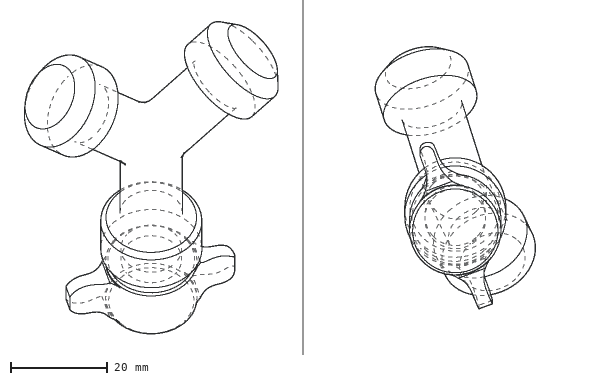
import cadquery as cq
import math

nut_radius = 9.5
nut_height = 13.5
nut_top_chamfer = 0.5
nut_bottom_chamfer = 0.6

neck_radius = 6.3
collar_radius = 10.5
collar_bottom = 17.0
collar_top = 27.2
collar_chamfer = 1.1
stem_radius = 6.5
root_fillet = 1.5

total_height = 79.0
arm_span = 53.7
arm_angle = 45.0
cap_radius = 10.0
cap_length = 10.0
cap_chamfer = 3.0
fork_height = total_height - arm_span / 2
cap_end = arm_span / 2 * math.sqrt(2) - (cap_radius - cap_chamfer)
cap_start = cap_end - cap_length
crotch_fillet = 3.0
shoulder_fillet = 6.0

wing_reach = 18.0
blade_half = 1.5
wing_middle = 6.9
root_half_height = 5.7
blade_half_height = 4.5
tip_half_height = 2.05
wing_step_start = 9.8
wing_step_radius = 3.0
blade_corner_start = 14.15
flank_radius = 6.95


def fork_frame():
    """Stem and two arms as bare rods, joined by a ball where they meet."""
    rods = cq.Workplane("XY").workplane(offset=collar_top).circle(stem_radius)
    rods = rods.extrude(fork_height - collar_top)
    rods = rods.union(cq.Workplane("XY").sphere(stem_radius).translate((0, 0, fork_height)))
    for side in (1, -1):
        rods = rods.union(lean(cq.Workplane("XY").circle(stem_radius).extrude(cap_start), side))
    return rods


def lean(body, side):
    """Tilt a body standing on the origin into arm position on the given Y side."""
    return body.rotate((0, 0, 0), (1, 0, 0), -side * arm_angle).translate((0, 0, fork_height))


def blend_fork(rods):
    """Round the crotch between the arms and the shoulders where the stem turns into each arm."""
    ellipses = rods.edges("%ELLIPSE").vals()
    shoulders = [edge for edge in ellipses if edge.Center().z < fork_height]
    rods = cq.Workplane(rods.val().fillet(shoulder_fillet, shoulders))
    crotch_height = fork_height + stem_radius * math.sqrt(2)
    crotch_point = (0, 0, crotch_height)
    crotch = rods.edges("%ELLIPSE").edges(cq.selectors.NearestToPointSelector(crotch_point))
    return crotch.fillet(crotch_fillet)


def concave_root(rod_radius, height, direction):
    """Ring that flares a rod into the flat face at the given height, rising along direction."""
    top = height + direction * root_fillet
    return (
        cq.Workplane("XZ")
        .moveTo(0, height)
        .lineTo(rod_radius + root_fillet, height)
        .radiusArc((rod_radius, top), direction * root_fillet)
        .lineTo(0, top)
        .close()
        .revolve(360, (0, 0), (0, 1))
    )


def cap(side):
    """Chamfered cap with a flared root, at the end of one arm."""
    body = cq.Workplane("XY").workplane(offset=cap_start).circle(cap_radius).extrude(cap_length)
    body = body.faces(">Z").edges().chamfer(cap_chamfer)
    return lean(body.union(concave_root(stem_radius, cap_start, -1)), side)


def collar():
    """Collar with a chamfered top edge and a flared root under the stem."""
    body = cq.Workplane("XY").workplane(offset=collar_bottom).circle(collar_radius)
    body = body.extrude(collar_top - collar_bottom).faces(">Z").edges().chamfer(collar_chamfer)
    return body.union(concave_root(stem_radius, collar_top, 1))


def nut():
    """Round nut body with the neck standing on it."""
    body = cq.Workplane("XY").circle(nut_radius).extrude(nut_height)
    body = body.faces(">Z").edges().chamfer(nut_top_chamfer)
    body = body.faces("<Z").edges().chamfer(nut_bottom_chamfer)
    return body.union(cq.Workplane("XY").circle(neck_radius).extrude(collar_bottom))


def wing_plan():
    """Wing seen along Z: a flat blade whose flanks sweep out tangent to the nut."""
    flank_center_x = blade_half + flank_radius
    flank_center_y = math.sqrt((nut_radius + flank_radius) ** 2 - flank_center_x**2)
    touch = nut_radius / (nut_radius + flank_radius)
    foot_x = flank_center_x * touch
    foot_y = flank_center_y * touch
    return (
        cq.Workplane("XY")
        .moveTo(0, 0)
        .lineTo(foot_x, foot_y)
        .radiusArc((blade_half, flank_center_y), flank_radius)
        .lineTo(blade_half, wing_reach)
        .lineTo(-blade_half, wing_reach)
        .lineTo(-blade_half, flank_center_y)
        .radiusArc((-foot_x, foot_y), flank_radius)
        .close()
        .extrude(nut_height)
    )


def wing_profile():
    """Wing seen along X: stepped down from the root to a blade with rounded corners."""
    step = root_half_height - blade_half_height
    step_end = wing_step_start + math.sqrt(wing_step_radius**2 - (wing_step_radius - step) ** 2)
    corner_length = wing_reach - blade_corner_start
    corner_drop = blade_half_height - tip_half_height
    corner_radius = (corner_length**2 + corner_drop**2) / (2 * corner_drop)
    return (
        cq.Workplane("YZ", origin=(0, 0, wing_middle))
        .moveTo(0, root_half_height)
        .lineTo(wing_step_start, root_half_height)
        .radiusArc((step_end, blade_half_height), -wing_step_radius)
        .lineTo(blade_corner_start, blade_half_height)
        .radiusArc((wing_reach, tip_half_height), corner_radius)
        .lineTo(wing_reach, -tip_half_height)
        .radiusArc((blade_corner_start, -blade_half_height), corner_radius)
        .lineTo(step_end, -blade_half_height)
        .radiusArc((wing_step_start, -root_half_height), -wing_step_radius)
        .lineTo(0, -root_half_height)
        .close()
        .extrude(nut_radius, both=True)
    )


def round_tip():
    """Envelope that gives a wing tip a full round across the blade thickness."""
    round_center = wing_reach - blade_half
    block = cq.Workplane("XY").rect(2 * nut_radius, 2 * round_center).extrude(nut_height)
    return block.union(cq.Workplane("XY").center(0, round_center).circle(blade_half).extrude(nut_height))


wing = wing_plan().intersect(wing_profile())
round_wing = wing.intersect(round_tip())
flat_wing = wing.rotate((0, 0, 0), (0, 0, 1), 180)

result = blend_fork(fork_frame())
for side in (1, -1):
    result = result.union(cap(side))
result = result.union(collar()).union(nut()).union(round_wing).union(flat_wing)